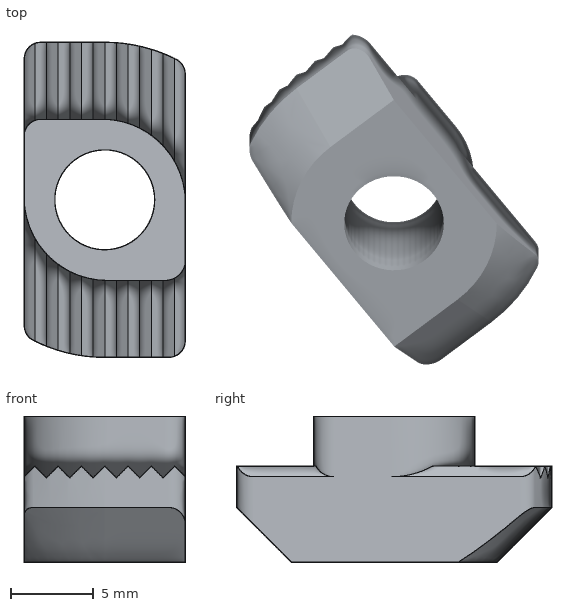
import cadquery as cq
import math

length = 19.0
width = 9.7
height = 8.8
corner_radius = 1.0
half_length = length / 2
half_width = width / 2

tooth_peak_height = 5.8
slope_height = 3.3
bottom_half_length = half_length - slope_height

tooth_pitch = 1.4
tooth_depth = tooth_pitch / 2
teeth_each_side = 3

boss_large_radius = 5.0
boss_front_corner_radius = 1.2

bore_diameter = 6.0


def make_base_blank():
    """Prism whose +X+Y and -X-Y end quadrants are rounded about the bore axis."""
    arc_end_y = math.sqrt(half_length**2 - half_width**2)
    mid_angle = (math.pi / 2 + math.atan2(arc_end_y, half_width)) / 2
    mid_x = half_length * math.cos(mid_angle)
    mid_y = half_length * math.sin(mid_angle)
    blank = (
        cq.Workplane("XY")
        .moveTo(-half_width, half_length)
        .lineTo(0, half_length)
        .threePointArc((mid_x, mid_y), (half_width, arc_end_y))
        .lineTo(half_width, -half_length)
        .lineTo(0, -half_length)
        .threePointArc((-mid_x, -mid_y), (-half_width, -arc_end_y))
        .close()
        .extrude(tooth_peak_height)
    )
    return blank.edges("|Z").edges("<X or >X").fillet(corner_radius)


def make_slope_envelope():
    """Cone under the rounded end quadrants, flat 45-degree slopes under the straight ones."""
    side_profile = [
        (0, 0),
        (bottom_half_length, 0),
        (half_length, slope_height),
        (half_length, height),
        (0, height),
    ]
    cone = cq.Workplane("XZ").polyline(side_profile).close().revolve(360, (0, 0, 0), (0, 1, 0))
    flat = cq.Workplane("YZ").polyline(side_profile).close().extrude(-half_width)
    opposite_flat = flat.rotate((0, 0, 0), (0, 0, 1), 180)
    return cone.union(flat).union(opposite_flat)


def make_serration_envelope():
    """Prism along Y whose top is the row of teeth."""
    outer_x = (teeth_each_side + 0.5) * tooth_pitch
    valley_height = tooth_peak_height - tooth_depth
    points = [(-outer_x, 0), (-outer_x, valley_height)]
    for tooth in range(-teeth_each_side, teeth_each_side + 1):
        peak_x = tooth * tooth_pitch
        points.append((peak_x, tooth_peak_height))
        points.append((peak_x + tooth_pitch / 2, valley_height))
    points.append((outer_x, 0))
    return cq.Workplane("XZ").polyline(points).close().extrude(half_length, both=True)


def make_base():
    blank = make_base_blank()
    return blank.intersect(make_slope_envelope()).intersect(make_serration_envelope())


def make_boss():
    """Square collar with two diagonally opposite large corners and two small ones."""
    boss = cq.Workplane("XY").rect(width, width).extrude(height)
    corners = [
        (-1, -1, boss_large_radius),
        (1, 1, boss_large_radius),
        (-1, 1, corner_radius),
        (1, -1, boss_front_corner_radius),
    ]
    for x_side, y_side, radius in corners:
        corner = (x_side * half_width, y_side * half_width, height / 2)
        boss = boss.edges(cq.selectors.NearestToPointSelector(corner)).fillet(radius)
    return boss


bore = cq.Workplane("XY").circle(bore_diameter / 2).extrude(height)
result = make_base().union(make_boss()).cut(bore)